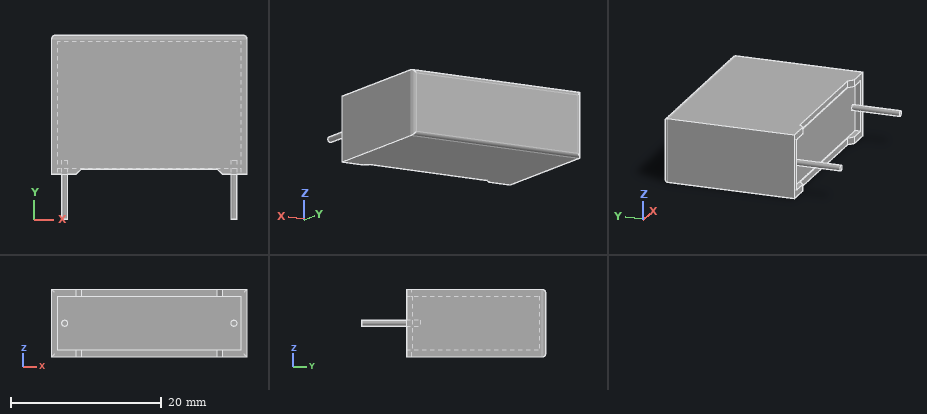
import cadquery as cq

case_width = 26.0
case_depth = 18.5
case_height = 9.02
side_wall = 0.83
flat_wall = 0.94
back_wall = side_wall
back_fillet = 0.52

relief_depth = 0.68
relief_margin = 3.25
relief_slope_width = 0.73

resin_recess = 0.1
resin_face_y = relief_depth + resin_recess

lead_diameter = 0.8
lead_pitch = 22.5
lead_projection = 5.98
lead_embedment = 1.05

cavity_width = case_width - 2 * side_wall
cavity_height = case_height - 2 * flat_wall
cavity_end_y = case_depth - back_wall
lead_positions = [-lead_pitch / 2, lead_pitch / 2]


def block(width, height, start_y, end_y):
    """Box centred on X and Z, reaching from start_y to end_y."""
    return cq.Workplane("XY").box(width, end_y - start_y, height).translate((0, (start_y + end_y) / 2, 0))


def make_relief():
    """Trapezoidal cutter through both flat walls at the rim."""
    outer_x = case_width / 2 - relief_margin
    inner_x = outer_x - relief_slope_width
    outline = [(-outer_x, 0), (outer_x, 0), (inner_x, relief_depth), (-inner_x, relief_depth)]
    return cq.Workplane("XY").polyline(outline).close().extrude(case_height / 2, both=True)


def make_case():
    """Hollow case with rounded back edges and a relieved rim."""
    shell = block(case_width, case_height, 0, case_depth).faces(">Y").edges().fillet(back_fillet)
    cavity = block(cavity_width, cavity_height, 0, cavity_end_y)
    return shell.cut(cavity).cut(make_relief())


def make_lead(x):
    """Straight round lead along Y, embedded in the resin."""
    lead_length = lead_projection + resin_face_y + lead_embedment
    return (
        cq.Workplane("XZ", origin=(x, -lead_projection, 0))
        .circle(lead_diameter / 2)
        .extrude(-lead_length)
    )


def make_resin(embedded_leads):
    """Resin filling the cavity, with a blind hole for each lead."""
    resin = block(cavity_width, cavity_height, resin_face_y, cavity_end_y)
    for lead in embedded_leads:
        resin = resin.cut(lead)
    return resin


case = make_case()
leads = [make_lead(x) for x in lead_positions]
resin_fill = make_resin(leads)

result = cq.Compound.makeCompound([case.val(), resin_fill.val(), *[lead.val() for lead in leads]])